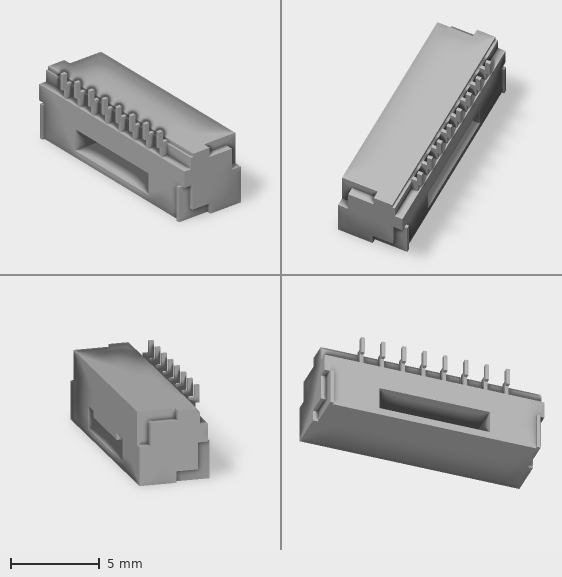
import cadquery as cq


LENGTH = 13.25
DEPTH = 4.2
BODY_HEIGHT = 4.25
BODY_FRONT = 0.16
HALF_LENGTH = LENGTH / 2

LEDGE_HEIGHT = 3.31
LEDGE_BACK = 0.64
STEP_HEIGHT = 4.04
STEP_BACK = 0.8

WINDOW_WIDTH = 6.65
WINDOW_BOTTOM = 0.44
WINDOW_TOP = 1.82
LIP_WIDTH = 4.43
LIP_HEIGHT = 0.4
LIP_DEPTH = LIP_HEIGHT

RECESS_DEPTH = 0.5
UPPER_RECESS_LENGTH = 2.24
UPPER_RECESS_HEIGHT = 1.95
UPPER_RECESS_BACK_WIDTH = 0.64
UPPER_RECESS_TOP_WIDTH = 0.6
LOWER_RECESS_BACK = 2.03
LOWER_RECESS_HEIGHT = 2.27
LOWER_RECESS_FRONT_BACK = 0.75
LOWER_RECESS_FOOT_HEIGHT = 0.68

TAB_THICKNESS = 0.21
TAB_HEIGHT = 2.23

PIN_COUNT = 8
PIN_ROW_LENGTH = 8.75
PIN_PITCH = PIN_ROW_LENGTH / (PIN_COUNT - 1)
PIN_WIDTH = 0.21
PIN_TOP = 4.95
PIN_FOOT_FRONT = 0.24
PIN_TIP_BOTTOM = 3.94
PIN_TIP_BACK = 0.29


def extrude_along_x(points, x_start, width):
    """Extrude a closed (y, z) outline from x_start towards +X."""
    return cq.Workplane("YZ", origin=(x_start, 0, 0)).polyline(points).close().extrude(width)


def at_both_ends(solid):
    """Join a solid with its mirror image at the other end of the part."""
    return solid.union(solid.mirror("YZ"))


def box_on_x_centre(width, y_range, z_range):
    """Make a box centred on X from its Y and Z limits."""
    y_min, y_max = y_range
    z_min, z_max = z_range
    return cq.Workplane("XY").box(
        width, y_max - y_min, z_max - z_min, centered=(True, False, False)
    ).translate((0, y_min, z_min))


def make_body():
    outline = [
        (BODY_FRONT, 0),
        (DEPTH, 0),
        (DEPTH, BODY_HEIGHT),
        (STEP_BACK, BODY_HEIGHT),
        (STEP_BACK, STEP_HEIGHT),
        (LEDGE_BACK, STEP_HEIGHT),
        (LEDGE_BACK, LEDGE_HEIGHT),
        (BODY_FRONT, LEDGE_HEIGHT),
    ]
    return extrude_along_x(outline, -HALF_LENGTH, LENGTH)


def make_window():
    opening = box_on_x_centre(WINDOW_WIDTH, (0, DEPTH), (WINDOW_BOTTOM, WINDOW_TOP))
    lip = box_on_x_centre(LIP_WIDTH, (DEPTH - LIP_DEPTH, DEPTH), (WINDOW_TOP - LIP_HEIGHT, WINDOW_TOP))
    return opening.cut(lip)


def make_upper_recesses():
    """L-shaped pockets along the top and back edges of both ends."""
    bottom = BODY_HEIGHT - UPPER_RECESS_HEIGHT
    inner_back = DEPTH - UPPER_RECESS_BACK_WIDTH
    inner_top = BODY_HEIGHT - UPPER_RECESS_TOP_WIDTH
    front = DEPTH - UPPER_RECESS_LENGTH
    outline = [
        (DEPTH, BODY_HEIGHT),
        (DEPTH, bottom),
        (inner_back, bottom),
        (inner_back, inner_top),
        (front, inner_top),
        (front, BODY_HEIGHT),
    ]
    return at_both_ends(extrude_along_x(outline, -HALF_LENGTH, RECESS_DEPTH))


def lower_l_outline(height):
    """L shape along the bottom and front edges, with an upright of the given height."""
    return [
        (0, 0),
        (LOWER_RECESS_BACK, 0),
        (LOWER_RECESS_BACK, LOWER_RECESS_FOOT_HEIGHT),
        (LOWER_RECESS_FRONT_BACK, LOWER_RECESS_FOOT_HEIGHT),
        (LOWER_RECESS_FRONT_BACK, height),
        (0, height),
    ]


def make_lower_recesses():
    outline = lower_l_outline(LOWER_RECESS_HEIGHT)
    return at_both_ends(extrude_along_x(outline, -HALF_LENGTH, RECESS_DEPTH))


def make_tabs():
    """L-shaped plates lying against the floors of the lower recesses."""
    tab_start = -HALF_LENGTH + RECESS_DEPTH - TAB_THICKNESS
    return at_both_ends(extrude_along_x(lower_l_outline(TAB_HEIGHT), tab_start, TAB_THICKNESS))


def make_pin(x_centre):
    """A pin standing on the ledge, with its tip stepped forward."""
    outline = [
        (LEDGE_BACK, LEDGE_HEIGHT),
        (LEDGE_BACK, BODY_HEIGHT),
        (PIN_TIP_BACK, BODY_HEIGHT),
        (PIN_TIP_BACK, PIN_TOP),
        (0, PIN_TOP),
        (0, PIN_TIP_BOTTOM),
        (PIN_FOOT_FRONT, PIN_TIP_BOTTOM),
        (PIN_FOOT_FRONT, LEDGE_HEIGHT),
    ]
    return extrude_along_x(outline, x_centre - PIN_WIDTH / 2, PIN_WIDTH)


result = make_body().cut(make_window()).cut(make_upper_recesses()).cut(make_lower_recesses())
result = result.union(make_tabs())
for pin_index in range(PIN_COUNT):
    pin_x = pin_index * PIN_PITCH - PIN_ROW_LENGTH / 2
    result = result.union(make_pin(pin_x))